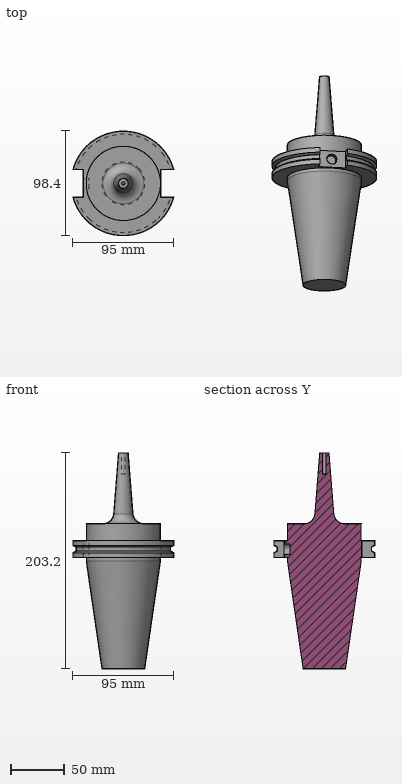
import cadquery as cq
import math


taper_length = 101.6
taper_ratio = 7 / 24
gauge_diameter = 69.85
small_end_diameter = gauge_diameter - taper_length * taper_ratio

flange_diameter = 98.425
flange_bottom = 3.175
flange_top = 19.05
flange_thickness = flange_top - flange_bottom
flange_middle = (flange_bottom + flange_top) / 2
groove_floor_diameter = 92.6
groove_floor_width = 3.65
groove_flank_angle = 30.0

boss_diameter = gauge_diameter
boss_top = 35.05

nose_top = 101.6
nose_tip_diameter = 9.2
nose_half_angle = 4.5
nose_fillet_radius = 10.0
bore_diameter = 3.0
bore_depth = 20.0

slot_width = 25.91
left_slot_floor = 37.7
right_slot_floor = 35.3
slot_hole_diameter = 9.53
slot_hole_depth = 5.25


def make_body():
    """Revolve the half outline of the shank, flange, boss and nose about Z."""
    gauge_radius = gauge_diameter / 2
    flange_radius = flange_diameter / 2
    boss_radius = boss_diameter / 2
    tip_radius = nose_tip_diameter / 2

    floor_radius = groove_floor_diameter / 2
    floor_bottom = flange_middle - groove_floor_width / 2
    floor_top = flange_middle + groove_floor_width / 2
    groove_depth = flange_radius - floor_radius
    flank_height = groove_depth * math.tan(math.radians(groove_flank_angle))

    angle = math.radians(nose_half_angle)
    neck_z = boss_top + nose_fillet_radius * (1 - math.sin(angle))
    neck_radius = tip_radius + (nose_top - neck_z) * math.tan(angle)
    foot_radius = neck_radius + nose_fillet_radius * math.cos(angle)

    outline = (
        cq.Workplane("XZ")
        .moveTo(0, -taper_length)
        .lineTo(small_end_diameter / 2, -taper_length)
        .lineTo(gauge_radius, 0)
        .lineTo(gauge_radius, flange_bottom)
        .lineTo(flange_radius, flange_bottom)
        .lineTo(flange_radius, floor_bottom - flank_height)
        .lineTo(floor_radius, floor_bottom)
        .lineTo(floor_radius, floor_top)
        .lineTo(flange_radius, floor_top + flank_height)
        .lineTo(flange_radius, flange_top)
        .lineTo(boss_radius, flange_top)
        .lineTo(boss_radius, boss_top)
        .lineTo(0, boss_top)
        .close()
    )
    nose_outline = (
        cq.Workplane("XZ")
        .moveTo(0, nose_top)
        .lineTo(tip_radius, nose_top)
        .lineTo(neck_radius, neck_z)
        .tangentArcPoint((foot_radius, boss_top), relative=False)
        .lineTo(0, boss_top)
        .close()
    )
    axis_start = (0, 0, 0)
    axis_end = (0, 1, 0)
    shank = outline.revolve(360, axis_start, axis_end)
    nose = nose_outline.revolve(360, axis_start, axis_end)
    return shank.union(nose)


def make_drive_slot(side, floor_distance):
    """Cutter for one drive slot; side is -1 for -X and +1 for +X."""
    slot_depth = flange_diameter / 2 - floor_distance
    slot_center = side * (floor_distance + slot_depth / 2)
    return cq.Workplane("XY").box(slot_depth, slot_width, flange_thickness).translate(
        (slot_center, 0, flange_middle)
    )


def make_slot_hole():
    """Blind radial hole in the floor of the -X drive slot."""
    return (
        cq.Workplane("YZ", origin=(-left_slot_floor, 0, flange_middle))
        .circle(slot_hole_diameter / 2)
        .extrude(slot_hole_depth)
    )


def make_nose_bore():
    """Blind axial bore in the nose tip."""
    return (
        cq.Workplane("XY", origin=(0, 0, nose_top))
        .circle(bore_diameter / 2)
        .extrude(-bore_depth)
    )


result = (
    make_body()
    .cut(make_drive_slot(-1, left_slot_floor))
    .cut(make_drive_slot(1, right_slot_floor))
    .cut(make_slot_hole())
    .cut(make_nose_bore())
)